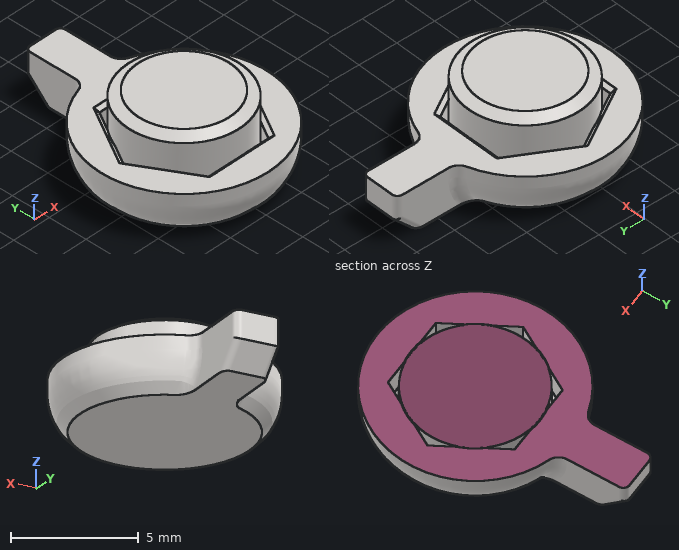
import cadquery as cq
import math


cap_diameter = 9.2
cap_radius = cap_diameter / 2
cap_height = 2.22
rim_height = 0.63
belly_radius = 2.0
belly_sweep = math.radians(30)
base_chamfer = 0.42
trim_allowance = 0.37

total_length = 12.28
lever_tip_y = total_length - cap_radius
lever_width = 2.0
lever_tip_chamfer = 1.0
lever_edge_fillet = 0.3
lever_root_fillet = 0.6

hex_flats = 5.91
hex_mouth_flats = 6.31
hex_bevel_depth = 0.2
hex_depth = 1.5
recess_floor_z = cap_height - hex_depth

pin_diameter = 6.0
pin_top_z = 3.8
pin_chamfer_height = 0.3
pin_chamfer_width = 0.53


def cap():
    """Revolved body of the knob, still reaching below the underside."""
    rim_z = cap_height - rim_height
    belly_center_r = cap_radius - belly_radius

    def belly_point(angle):
        return belly_center_r + belly_radius * math.cos(angle), rim_z - belly_radius * math.sin(angle)

    cone_top_r, cone_top_z = belly_point(belly_sweep)
    cone_bottom_r = cone_top_r - (cone_top_z - base_chamfer) * math.tan(belly_sweep)
    return (
        cq.Workplane("XZ")
        .moveTo(0, -trim_allowance)
        .lineTo(cone_bottom_r - base_chamfer - trim_allowance, -trim_allowance)
        .lineTo(cone_bottom_r, base_chamfer)
        .lineTo(cone_top_r, cone_top_z)
        .threePointArc(belly_point(belly_sweep / 2), (cap_radius, rim_z))
        .lineTo(cap_radius, cap_height)
        .lineTo(0, cap_height)
        .close()
        .revolve(360, (0, 0, 0), (0, 1, 0))
    )


def lever():
    """Straight bar from the cap axis to the tip, its lower tip corner cut at 45 degrees.

    Like the cap, it still reaches below the underside.
    """
    return (
        cq.Workplane("YZ")
        .moveTo(0, -trim_allowance)
        .lineTo(lever_tip_y - lever_tip_chamfer - trim_allowance, -trim_allowance)
        .lineTo(lever_tip_y, lever_tip_chamfer)
        .lineTo(lever_tip_y, cap_height)
        .lineTo(0, cap_height)
        .close()
        .extrude(lever_width / 2, both=True)
    )


def rising_side_edges(body, y_from, y_to):
    """Edges along the lever sides that lie between two Y values, without those in the flat top or underside."""
    margin = 0.01
    zone = cq.selectors.BoxSelector(
        (-lever_width, y_from - margin, margin - trim_allowance),
        (lever_width, y_to + margin, cap_height - margin),
    )
    return body.edges(zone).edges("not |X")


def hex_recess():
    """Hexagonal bore with corners on the X axis, and its bevelled mouth."""
    corner_ratio = 1 / math.cos(math.pi / 6)
    top = cq.Workplane("XY", origin=(0, 0, cap_height))
    bore = top.polygon(6, hex_flats * corner_ratio).extrude(-hex_depth)
    bevel = (
        top.polygon(6, hex_mouth_flats * corner_ratio)
        .workplane(offset=-hex_bevel_depth)
        .polygon(6, hex_flats * corner_ratio)
        .loft(ruled=True)
    )
    return bore.union(bevel)


def below_underside():
    """Block that holds everything lower than the flat underside."""
    side = 2 * total_length
    return cq.Workplane("XY").rect(side, side).extrude(-2 * trim_allowance)


def make_knob(pin):
    """Cap and lever in one piece; the pin's round side bites slightly into the hexagon's flats."""
    slope_start_y = lever_tip_y - lever_tip_chamfer - trim_allowance
    body = cap().union(lever())
    body = rising_side_edges(body, slope_start_y, lever_tip_y).fillet(lever_edge_fillet)
    body = rising_side_edges(body, 0, cap_radius).fillet(lever_root_fillet)
    return body.cut(below_underside()).cut(hex_recess()).cut(pin)


def make_pin():
    """Round pin with a shallow chamfer around its top face."""
    return (
        cq.Workplane("XY", origin=(0, 0, recess_floor_z))
        .circle(pin_diameter / 2)
        .extrude(pin_top_z - recess_floor_z)
        .faces(">Z")
        .edges()
        .chamfer(pin_chamfer_height, pin_chamfer_width)
    )


pin = make_pin()
knob = make_knob(pin)
result = cq.Compound.makeCompound([knob.val(), pin.val()])